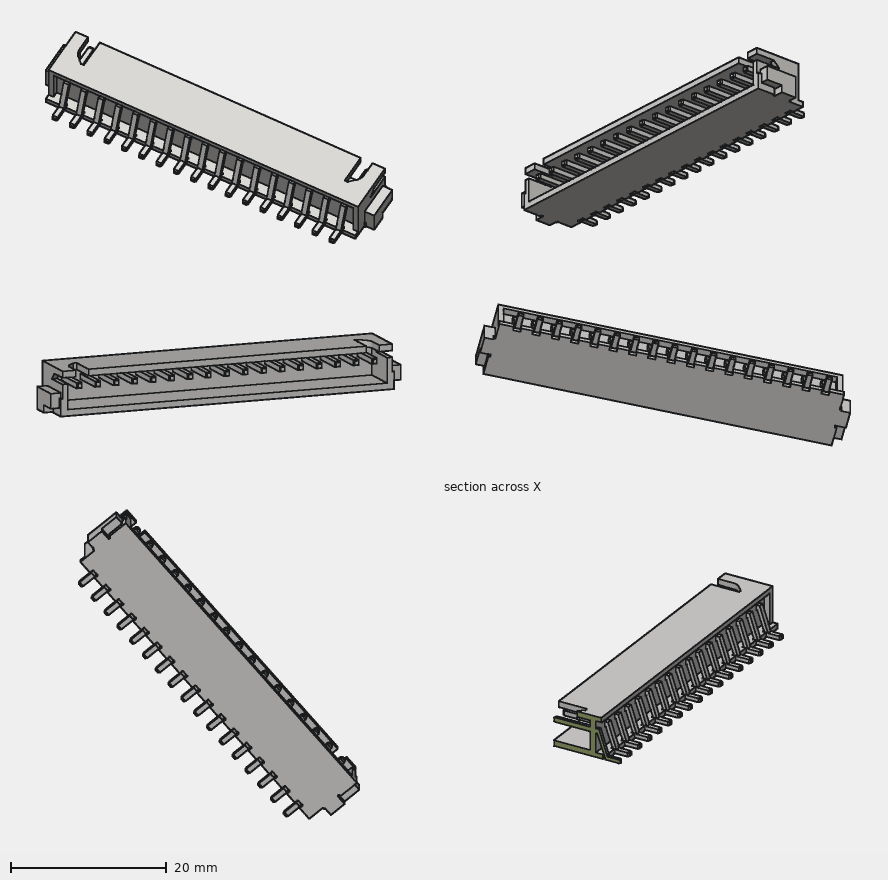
import cadquery as cq


overall_length = 48.25
housing_length = 45.45
housing_depth = 7.1
housing_height = 5.95
mating_face = 0.0
housing_back = mating_face - housing_depth

top_wall = 0.85
floor_thickness = 0.85
end_wall = 0.7
cavity_depth = 5.35
cavity_top = housing_height - top_wall

back_frame = 0.7
recess_floor = mating_face - 6.25
foot_height = 0.7
foot_overhang = 0.7
foot_back = housing_back - foot_overhang

roof_slot_inset = 1.85
roof_slot_width = 1.75
roof_slot_depth = 4.2
roof_slot_bevel = 1.3
roof_slot_bend_radius = 1.45
end_slot_bottom = 4.2
end_slot_depth = 3.75

tab_front = mating_face - 0.6
tab_back = mating_face - cavity_depth
tab_top = 3.0
tab_notch_back = mating_face - 3.05
tab_notch_height = 1.0
step_width = 0.25
front_step_depth = 2.75
front_step_height = 2.3
back_step_depth = 0.15

pin_count = 17
pin_row_length = 40.65
pin_pitch = pin_row_length / (pin_count - 1)
pin_width = 0.7
pin_top = 4.2
pin_bottom = pin_top - pin_width
pin_front = mating_face
lead_thickness = 0.6
lead_end = mating_face - 9.9
tip_taper = 0.25
tip_inset = 0.1
slant_top_outer = mating_face - 6.75
slant_top_inner = mating_face - 6.4
slant_bottom_outer = mating_face - 8.0
slant_bottom_inner = mating_face - 7.65
foot_notch_width = 0.95
foot_notch_depth = 0.55


def block(x_range, y_range, z_range):
    """Axis-aligned box between pairs of limits."""
    sizes = [high - low for low, high in (x_range, y_range, z_range)]
    corner = (x_range[0], y_range[0], z_range[0])
    return cq.Workplane("XY").box(*sizes, centered=False).translate(corner)


def side_profile(points, width):
    """Prism with a (Y, Z) outline, centred on X = 0."""
    return cq.Workplane("YZ").polyline(points).close().extrude(width / 2, both=True)


def both_ends(shape):
    """The shape together with its mirror image at the other end."""
    return shape.union(shape.mirror("YZ"))


def housing():
    half = housing_length / 2
    inner = half - end_wall
    body = block((-half, half), (housing_back, mating_face), (0, housing_height))
    foot = block((-half, half), (foot_back, housing_back), (0, foot_height))
    cavity = block(
        (-inner, inner), (mating_face - cavity_depth, mating_face), (floor_thickness, cavity_top)
    )
    recess = block(
        (-half + back_frame, half - back_frame),
        (housing_back, recess_floor),
        (foot_height, housing_height - back_frame),
    )
    return body.union(foot).cut(cavity).cut(recess)


def roof_slots():
    outer = -housing_length / 2 + roof_slot_inset
    inner = outer + roof_slot_width
    slot_end = mating_face - roof_slot_depth
    outline = [
        (outer, mating_face),
        (inner, mating_face),
        (inner, slot_end),
        (outer + roof_slot_bevel, slot_end),
        (outer, slot_end + roof_slot_bevel),
    ]
    slot = cq.Workplane("XY").workplane(offset=cavity_top).polyline(outline).close().extrude(top_wall)
    bend = cq.NearestToPointSelector((*outline[-1], cavity_top + top_wall / 2))
    slot = slot.edges("|Z").edges(bend).fillet(roof_slot_bend_radius)
    return both_ends(slot)


def end_slots():
    slot_end = mating_face - end_slot_depth
    slope = cavity_top - end_slot_bottom
    outline = [
        (mating_face, end_slot_bottom),
        (slot_end, end_slot_bottom),
        (slot_end + slope, cavity_top),
        (mating_face, cavity_top),
    ]
    return side_profile(outline, housing_length)


def solder_tabs():
    outer = -overall_length / 2
    wall = -housing_length / 2
    tab = block((outer, wall), (tab_back, tab_front), (0, tab_top))
    notch = block((outer, wall), (tab_notch_back, tab_front), (0, tab_notch_height))
    step = (wall - step_width, wall)
    front_step = block(step, (mating_face - front_step_depth, mating_face), (0, front_step_height))
    back_step = block(step, (tab_back - back_step_depth, tab_back), (0, foot_height))
    return both_ends(tab.cut(notch).union(front_step).union(back_step))


def pin_tip(y_start, y_end, height, z_middle):
    """Tapered end of a pin, narrowing on all four sides from y_start to y_end."""
    return (
        cq.Workplane("XZ", origin=(0, y_start, z_middle))
        .rect(pin_width, height)
        .workplane(offset=y_start - y_end)
        .rect(pin_width - 2 * tip_inset, height - 2 * tip_inset)
        .loft()
    )


def pin():
    contact_start = pin_front - tip_taper
    lead_start = lead_end + tip_taper
    outline = [
        (contact_start, pin_top),
        (slant_top_outer, pin_top),
        (slant_bottom_outer, lead_thickness),
        (lead_start, lead_thickness),
        (lead_start, 0),
        (slant_bottom_inner, 0),
        (slant_top_inner, pin_bottom),
        (contact_start, pin_bottom),
    ]
    bar = side_profile(outline, pin_width)
    contact_tip = pin_tip(contact_start, pin_front, pin_width, (pin_top + pin_bottom) / 2)
    lead_tip = pin_tip(lead_start, lead_end, lead_thickness, lead_thickness / 2)
    return bar.union(contact_tip).union(lead_tip)


def foot_notch():
    half = foot_notch_width / 2
    return block((-half, half), (foot_back, foot_back + foot_notch_depth), (0, foot_height))


def along_row(shape):
    """Copies of the shape at every pin position."""
    positions = [(i * pin_pitch - pin_row_length / 2, 0, 0) for i in range(pin_count)]
    solid = shape.val()
    return [solid.translate(cq.Vector(*position)) for position in positions]


result = housing().cut(roof_slots()).cut(end_slots()).union(solder_tabs())
for notch_copy in along_row(foot_notch()):
    result = result.cut(cq.Workplane(notch_copy))
for pin_copy in along_row(pin()):
    result = result.union(cq.Workplane(pin_copy))